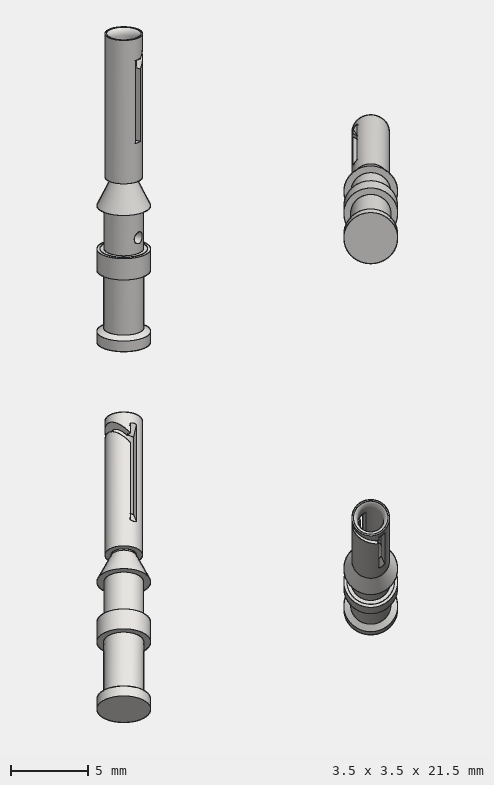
import cadquery as cq
import math

base_rim_top = 0.75
base_top = 0.99
collar_bottom = 5.0
collar_top = 6.5
collar_step_top = 6.51
barb_bottom = 9.5
barb_top = 11.4
socket_bottom = 11.5
total_height = 21.5

rim_diameter = 3.5
lower_shank_diameter = 2.62
collar_step_diameter = 3.1
upper_shank_diameter = 2.58
neck_diameter = 1.68
socket_diameter = 2.45

bore_diameter = 1.68
bore_depth = 8.17
bore_tip_angle = 118.0
mouth_diameter = 2.24
mouth_depth = 0.5

slot_width = 0.47
slot_top = 20.77
slot_bottom = 13.44
slot_end_flare = 0.77

slit_height = 0.7
slit_outer_top = 20.96

sight_hole_diameter = 0.8
sight_hole_height = 7.6


def make_body():
    rim = rim_diameter / 2
    outline = [
        (0, 0),
        (rim, 0),
        (rim, base_rim_top),
        (lower_shank_diameter / 2, base_top),
        (lower_shank_diameter / 2, collar_bottom),
        (rim, collar_bottom),
        (rim, collar_top),
        (collar_step_diameter / 2, collar_top),
        (collar_step_diameter / 2, collar_step_top),
        (upper_shank_diameter / 2, collar_step_top),
        (upper_shank_diameter / 2, barb_bottom),
        (rim, barb_bottom),
        (neck_diameter / 2, barb_top),
        (neck_diameter / 2, socket_bottom),
        (socket_diameter / 2, socket_bottom),
        (socket_diameter / 2, total_height),
        (0, total_height),
    ]
    return cq.Workplane("XZ").polyline(outline).close().revolve(360, (0, 0), (0, 1))


def make_bore():
    radius = bore_diameter / 2
    floor = total_height - bore_depth
    tip = floor - radius / math.tan(math.radians(bore_tip_angle / 2))
    mouth_radius = mouth_diameter / 2
    return (
        cq.Workplane("XZ")
        .moveTo(0, tip)
        .lineTo(radius, floor)
        .lineTo(radius, total_height - mouth_depth)
        .tangentArcPoint((mouth_radius, total_height), relative=False)
        .lineTo(0, total_height)
        .close()
        .revolve(360, (0, 0), (0, 1))
    )


def make_slot():
    outer = socket_diameter / 2
    inner = bore_diameter / 2
    inner_bottom = slot_bottom + slot_end_flare
    inner_top = slot_top - slot_end_flare
    outline = [
        (-outer, slot_bottom),
        (-inner, inner_bottom),
        (outer, inner_bottom),
        (outer, inner_top),
        (-inner, inner_top),
        (-outer, slot_top),
    ]
    return cq.Workplane("XZ").polyline(outline).close().extrude(slot_width / 2, both=True)


def make_slit():
    radius = socket_diameter / 2
    outline = [
        (radius, slit_outer_top),
        (0, slit_outer_top - radius),
        (0, slit_outer_top - radius - slit_height),
        (radius, slit_outer_top - slit_height),
    ]
    return cq.Workplane("YZ").polyline(outline).close().extrude(radius, both=True)


def make_sight_hole():
    return (
        cq.Workplane("YZ")
        .center(0, sight_hole_height)
        .circle(sight_hole_diameter / 2)
        .extrude(upper_shank_diameter / 2)
    )


result = make_body().cut(make_bore()).cut(make_slot()).cut(make_slit()).cut(make_sight_hole())